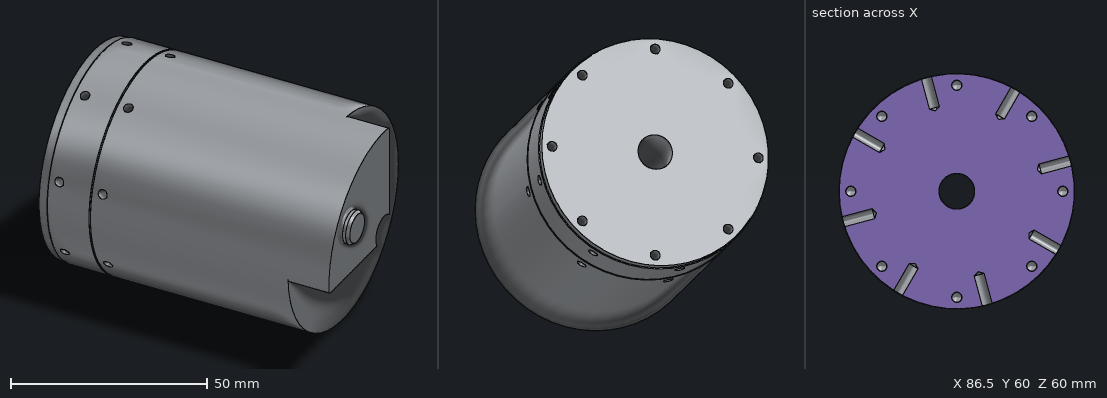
import math

import cadquery as cq

BODY_RADIUS = 30.0
FRONT_RIM_RADIUS = 29.7
FRONT_RIM_LENGTH = 2.5
MAIN_LENGTH = 72.0
TOTAL_LENGTH = 86.5
BORE_RADIUS = 4.5

GROOVE_START = 14.6
GROOVE_WIDTH = 0.4
GROOVE_DEPTH = 0.1

EXTENSION_LENGTH = 11.8
EXTENSION_SIDE_WALL = 2.8
EXTENSION_LOWER_WALL = 2.3
EXTENSION_FILLET = 1.0

CONNECTOR_Y = -19.7
CONNECTOR_Z = 12.7
CONNECTOR_BASE_RADIUS = 5.15
CONNECTOR_NECK_RADIUS = 4.5
CONNECTOR_RADIUS = 4.6
CONNECTOR_TIP_RADIUS = 4.0
CONNECTOR_NECK_DISTANCE = 0.5
CONNECTOR_RING_DISTANCE = 0.9
CONNECTOR_TIP_LENGTH = 0.9

HOLE_COUNT = 8
HOLE_PITCH = 360.0 / HOLE_COUNT
HOLE_RADIUS = 1.25
HOLE_DEPTH = 8.0
DRILL_POINT_ANGLE = 118.0
FACE_HOLE_CIRCLE_RADIUS = 27.0
RADIAL_HOLE_ROWS = (5.5, 18.0)
RADIAL_HOLE_START_ANGLE = 15.0

EXTENSION_END = MAIN_LENGTH + EXTENSION_LENGTH
AXIS_START = (0, 0, 0)
AXIS_END = (1, 0, 0)


def disc(start, length, radius):
    """Cylinder on the housing axis, from x = start."""
    return cq.Workplane("YZ").workplane(offset=start).circle(radius).extrude(length)


def make_body():
    rim = disc(0, FRONT_RIM_LENGTH, FRONT_RIM_RADIUS)
    main = disc(FRONT_RIM_LENGTH, MAIN_LENGTH - FRONT_RIM_LENGTH, BODY_RADIUS)
    return rim.union(main)


def make_extension():
    """Quarter of the body, with its two outer lengthwise edges rounded."""
    width = BODY_RADIUS + EXTENSION_SIDE_WALL
    height = BODY_RADIUS + EXTENSION_LOWER_WALL
    quarter_block = cq.Workplane("XY").box(EXTENSION_LENGTH, width, height, centered=False)
    quarter_block = quarter_block.translate((MAIN_LENGTH, -BODY_RADIUS, -EXTENSION_LOWER_WALL))
    quarter = disc(MAIN_LENGTH, EXTENSION_LENGTH, BODY_RADIUS).intersect(quarter_block)
    middle_x = MAIN_LENGTH + EXTENSION_LENGTH / 2
    upper_z = math.sqrt(BODY_RADIUS**2 - EXTENSION_SIDE_WALL**2)
    lower_y = -math.sqrt(BODY_RADIUS**2 - EXTENSION_LOWER_WALL**2)
    upper_edge = cq.selectors.NearestToPointSelector((middle_x, EXTENSION_SIDE_WALL, upper_z))
    lower_edge = cq.selectors.NearestToPointSelector((middle_x, lower_y, -EXTENSION_LOWER_WALL))
    return quarter.edges("|X").edges(upper_edge + lower_edge).fillet(EXTENSION_FILLET)


def make_connector():
    neck_x = EXTENSION_END + CONNECTOR_NECK_DISTANCE
    ring_start = EXTENSION_END + CONNECTOR_RING_DISTANCE
    tip_start = TOTAL_LENGTH - CONNECTOR_TIP_LENGTH
    profile = (
        cq.Workplane("XY")
        .moveTo(EXTENSION_END, 0)
        .lineTo(EXTENSION_END, CONNECTOR_BASE_RADIUS)
        .threePointArc((neck_x, CONNECTOR_NECK_RADIUS), (ring_start, CONNECTOR_RADIUS))
        .lineTo(tip_start, CONNECTOR_RADIUS)
        .lineTo(TOTAL_LENGTH, CONNECTOR_TIP_RADIUS)
        .lineTo(TOTAL_LENGTH, 0)
        .close()
    )
    connector = profile.revolve(360, AXIS_START, AXIS_END)
    return connector.translate((0, CONNECTOR_Y, CONNECTOR_Z))


def make_groove():
    """Ring that cuts the groove into the body."""
    outer = disc(GROOVE_START, GROOVE_WIDTH, BODY_RADIUS + GROOVE_DEPTH)
    return outer.cut(disc(GROOVE_START, GROOVE_WIDTH, BODY_RADIUS - GROOVE_DEPTH))


def make_drilling():
    """Blind hole running along +X from the origin, with a conical bottom."""
    point_length = HOLE_RADIUS / math.tan(math.radians(DRILL_POINT_ANGLE / 2))
    profile = [(0, 0), (0, HOLE_RADIUS), (HOLE_DEPTH, HOLE_RADIUS), (HOLE_DEPTH + point_length, 0)]
    return cq.Workplane("XY").polyline(profile).close().revolve(360, AXIS_START, AXIS_END)


def drill_face_holes(part):
    drilling = make_drilling().translate((0, 0, FACE_HOLE_CIRCLE_RADIUS))
    for index in range(HOLE_COUNT):
        part = part.cut(drilling.rotate(AXIS_START, AXIS_END, index * HOLE_PITCH))
    return part


def drill_radial_holes(part):
    inward = make_drilling().rotate((0, 0, 0), (0, 0, 1), 90)
    for row_x in RADIAL_HOLE_ROWS:
        drilling = inward.translate((row_x, -BODY_RADIUS, 0))
        for index in range(HOLE_COUNT):
            angle = RADIAL_HOLE_START_ANGLE + index * HOLE_PITCH
            part = part.cut(drilling.rotate(AXIS_START, AXIS_END, -angle))
    return part


result = make_body().union(make_extension()).union(make_connector())
result = result.cut(disc(0, EXTENSION_END, BORE_RADIUS))
result = result.cut(make_groove())
result = drill_face_holes(result)
result = drill_radial_holes(result)